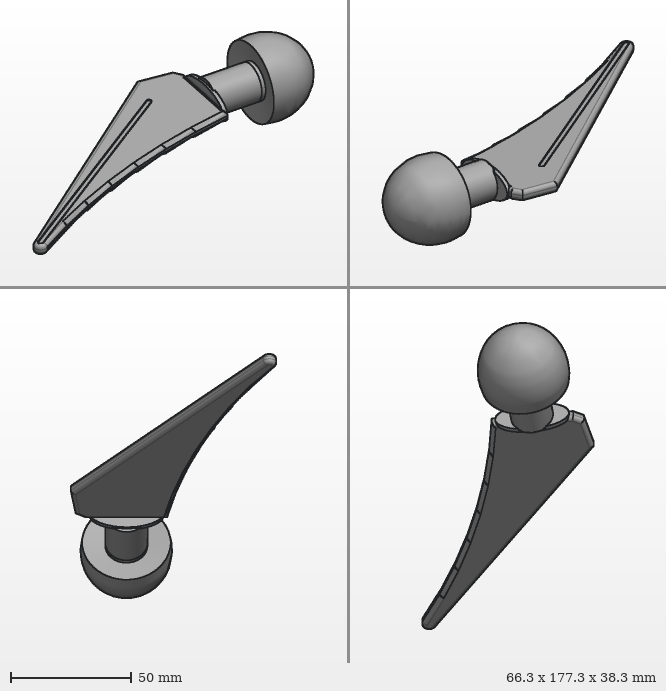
import cadquery as cq
import math

stem_thickness = 5.0
stem_edge_radius = 1.85
shoulder_side = (-10.85, 127.9)
shoulder_top_x = 0.2
neck_seat_top = (5.3, 140.2)
neck_seat_bottom = (33.4, 120.5)
medial_curve_middle = (16.7, 78.4)
tip_half_width = 3.0
tip_length = 3.0

groove_width = 2.2
groove_depth = 0.5
groove_length = 115.3

collar_half_length = 15.5
collar_half_height = 7.25
collar_overlap = 1.2
collar_rise = 0.8
collar_fillet = 0.9

neck_radius = 8.85
head_radius = 19.135
head_half_length = 22.0
rim_distance = 21.9
rim_to_equator = 6.0
underside_depth = 1.9

seat_run = neck_seat_bottom[0] - neck_seat_top[0]
seat_drop = neck_seat_top[1] - neck_seat_bottom[1]
neck_angle = 90 - math.degrees(math.atan2(seat_drop, seat_run))
seat_centre_x = (neck_seat_top[0] + neck_seat_bottom[0]) / 2
seat_centre_y = (neck_seat_top[1] + neck_seat_bottom[1]) / 2


def on_neck_axis(distance):
    """Plane square to the neck axis, with local x along the neck seat and local y along +Z."""
    angle = math.radians(neck_angle)
    axis = cq.Vector(math.cos(angle), math.sin(angle), 0)
    origin = cq.Vector(seat_centre_x, seat_centre_y, 0) + axis * distance
    return cq.Plane(origin=origin, xDir=(-axis.y, axis.x, 0), normal=axis)


def make_blade():
    outline = (
        cq.Workplane("XY", origin=(0, 0, -stem_thickness / 2))
        .moveTo(-tip_half_width, 0)
        .lineTo(*shoulder_side)
        .lineTo(shoulder_top_x, neck_seat_top[1])
        .lineTo(*neck_seat_top)
        .lineTo(*neck_seat_bottom)
        .threePointArc(medial_curve_middle, (tip_half_width, 0))
        .threePointArc((0, -tip_length), (-tip_half_width, 0))
        .close()
    )
    blade = outline.extrude(stem_thickness)
    return blade.faces("|Z").edges().fillet(stem_edge_radius)


def make_collar_prism(start, end):
    """Elliptical prism between two distances from the neck seat along the neck axis."""
    return (
        cq.Workplane(on_neck_axis(start))
        .ellipse(collar_half_length, collar_half_height)
        .extrude(end - start)
    )


def make_collar():
    return make_collar_prism(-collar_overlap, collar_rise)


def make_collar_fillet():
    """Concave fillet between the upper stem face and the collar, ending at the collar outline."""
    fillet_start = -collar_overlap - collar_fillet
    collar_length = 2 * collar_half_length
    top = stem_thickness / 2
    block = (
        cq.Workplane(on_neck_axis(fillet_start))
        .center(0, top + collar_fillet / 2)
        .rect(collar_length, collar_fillet)
        .extrude(collar_fillet)
    )
    hollow_plane = cq.Plane(
        origin=on_neck_axis(fillet_start).origin,
        xDir=(0, 0, 1),
        normal=on_neck_axis(0).xDir,
    )
    hollow = (
        cq.Workplane(hollow_plane)
        .center(top + collar_fillet, 0)
        .circle(collar_fillet)
        .extrude(collar_half_length, both=True)
    )
    return block.cut(hollow).intersect(make_collar_prism(fillet_start, -collar_overlap))


def make_neck():
    return cq.Workplane(on_neck_axis(0)).circle(neck_radius).extrude(rim_distance)


def make_groove():
    return (
        cq.Workplane("XY", origin=(0, groove_length / 2, stem_thickness / 2 - groove_depth))
        .slot2D(groove_length + groove_width, groove_width, 90)
        .extrude(groove_depth)
    )


def make_stem():
    blade = make_blade().cut(make_groove())
    return blade.union(make_collar()).union(make_collar_fillet()).union(make_neck())


def make_head():
    """Part of an ellipsoid with a dished underside and a central boss that meets the neck."""
    equator = on_neck_axis(rim_distance + rim_to_equator)
    profile_plane = cq.Plane(origin=equator.origin, xDir=equator.xDir, normal=(0, 0, -1))
    rim_radius = head_radius * math.sqrt(1 - (rim_to_equator / head_half_length) ** 2)
    rim_parameter = math.degrees(math.asin(-rim_to_equator / head_half_length))
    return (
        cq.Workplane(profile_plane)
        .moveTo(0, -rim_to_equator)
        .lineTo(neck_radius, -rim_to_equator)
        .lineTo(neck_radius, underside_depth - rim_to_equator)
        .lineTo(rim_radius, -rim_to_equator)
        .ellipseArc(head_radius, head_half_length, rim_parameter, 90, sense=1, startAtCurrent=True)
        .close()
        .revolve(360, (0, 0), (0, 1))
    )


stem = make_stem()
head = make_head()
result = cq.Compound.makeCompound([*stem.solids().vals(), head.val()])